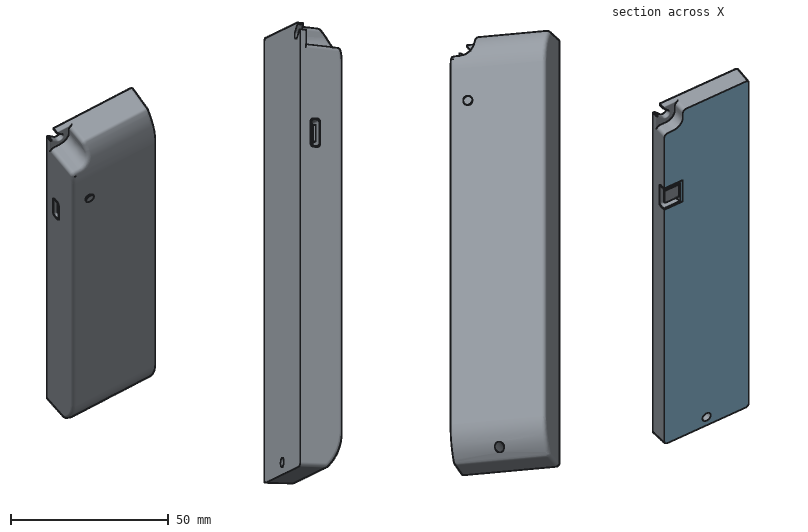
import cadquery as cq
import math

width = 32.62
length = 143.42
housing_depth = 14.7
draft_angle = 2.0
corner_radius = 1.3
front_edge_radius = 1.3

half_width = width / 2
half_length = length / 2

end_flat_depth = 9.1
end_curve_length = 12.2
end_curve_drop = housing_depth - end_flat_depth
end_curve_radius = (end_curve_length**2 + end_curve_drop**2) / (2 * end_curve_drop)

web_thickness = 2.1
web_edge_radius = 0.3
pocket_size = 7.0
pocket_inner_radius = 3.5
pocket_lip_radius = 1.4
slot_width = 2.8
slot_end_offset = 3.7
slot_mouth_size = 2.6
slot_angle = 45.0

hole_diameter = 3.0
hole_end_distance = 4.0

button_diameter = 3.0
button_height = 0.5
button_side_distance = 6.6
button_top_distance = 23.3

socket_center_x = 5.2
socket_top_distance = 35.6
socket_length = 9.3
socket_thickness = 3.4
socket_corner_radius = 1.2
socket_wall = 0.4
socket_depth = 7.0
socket_floor_thickness = 1.0
tongue_length = 5.3
tongue_thickness = 0.8
tongue_recess = 0.8
opening_clearance = 1.0

selection_margin = 0.2

socket_center_z = half_length - socket_top_distance
draft_slope = math.tan(math.radians(draft_angle))
socket_face_y = -half_width + socket_center_x * draft_slope


def drafted_prism(outline):
    """Extrude an open YZ outline, once closed, towards +X with the side draft."""
    return outline.close().extrude(housing_depth, taper=draft_angle)


def round_upright_edge(block, y, z, radius):
    """Round the drafted edge that rises from the point (y, z) on the back."""
    nearest = cq.selectors.NearestToPointSelector((housing_depth / 2, y, z))
    return block.edges(nearest).fillet(radius)


def full_block():
    outline = (
        cq.Workplane("YZ")
        .moveTo(-half_width, -half_length)
        .lineTo(half_width, -half_length)
        .lineTo(half_width, half_length)
        .lineTo(-half_width, half_length)
    )
    block = drafted_prism(outline)
    for y in (-half_width, half_width):
        for z in (-half_length, half_length):
            block = round_upright_edge(block, y, z, corner_radius)
    return block


def pocketed_block():
    """The block with its upper -Y corner notched out over the whole depth."""
    wall_y = -half_width + pocket_size
    floor_z = half_length - pocket_size
    arc_center_y = wall_y - pocket_inner_radius
    arc_center_z = floor_z + pocket_inner_radius
    arc_reach = pocket_inner_radius * math.sqrt(0.5)
    outline = (
        cq.Workplane("YZ")
        .moveTo(-half_width, -half_length)
        .lineTo(half_width, -half_length)
        .lineTo(half_width, half_length)
        .lineTo(wall_y, half_length)
        .lineTo(wall_y, arc_center_z)
        .threePointArc((arc_center_y + arc_reach, arc_center_z - arc_reach), (arc_center_y, floor_z))
        .lineTo(-half_width, floor_z)
    )
    block = drafted_prism(outline)
    block = round_upright_edge(block, -half_width, -half_length, corner_radius)
    block = round_upright_edge(block, half_width, -half_length, corner_radius)
    block = round_upright_edge(block, half_width, half_length, corner_radius)
    block = round_upright_edge(block, wall_y, half_length, pocket_lip_radius)
    block = round_upright_edge(block, -half_width, floor_z, pocket_lip_radius)
    return block


def side_profile():
    """XZ profile with both front ends curved back, as a slab wider than the housing."""
    curve_end_z = half_length - end_curve_length
    return (
        cq.Workplane("XZ")
        .moveTo(0, -half_length)
        .lineTo(end_flat_depth, -half_length)
        .radiusArc((housing_depth, -curve_end_z), -end_curve_radius)
        .lineTo(housing_depth, curve_end_z)
        .radiusArc((end_flat_depth, half_length), -end_curve_radius)
        .lineTo(0, half_length)
        .close()
        .extrude(width, both=True)
    )


def round_front_rim(block):
    """Round the rim of the front face, leaving out the two seams where its ends start to curve."""
    front_x = housing_depth + selection_margin
    rim_and_seams = cq.selectors.BoxSelector(
        (end_flat_depth - selection_margin, -width, -length),
        (front_x, width, length),
    )
    seam_reach = half_length - end_curve_length + selection_margin
    seams = cq.selectors.BoxSelector(
        (housing_depth - selection_margin, -half_width / 2, -seam_reach),
        (front_x, half_width / 2, seam_reach),
    )
    return block.edges(rim_and_seams - seams).fillet(front_edge_radius)


def lanyard_slot():
    """Slot slanting in from the corner with a round inner end and a square mouth."""
    end_y = -half_width + slot_end_offset
    end_z = half_length - slot_end_offset
    slot_reach = 2 * slot_end_offset
    round_end = cq.Workplane("YZ").center(end_y, end_z).circle(slot_width / 2).extrude(web_thickness)
    channel = (
        cq.Workplane("YZ")
        .rect(slot_reach, slot_width)
        .extrude(web_thickness)
        .translate((0, -slot_reach / 2, 0))
        .rotate((0, 0, 0), (1, 0, 0), -slot_angle)
        .translate((0, end_y, end_z))
    )
    mouth = (
        cq.Workplane("YZ")
        .center(-half_width, half_length)
        .rect(2 * slot_mouth_size, 2 * slot_mouth_size)
        .extrude(web_thickness)
    )
    return round_end.union(channel).union(mouth)


def slotted_web():
    """Back layer with the lanyard slot, its inner rim rounded where the pocket leaves it bare."""
    slab = cq.Workplane("YZ").rect(width, length).extrude(web_thickness)
    web = full_block().intersect(slab).cut(lanyard_slot())
    return web.faces(">X").edges().fillet(web_edge_radius)


def mounting_hole():
    hole_z = -half_length + hole_end_distance
    return cq.Workplane("YZ").center(0, hole_z).circle(hole_diameter / 2).extrude(housing_depth)


def button():
    return (
        cq.Workplane("YZ", origin=(housing_depth, 0, 0))
        .center(-half_width + button_side_distance, half_length - button_top_distance)
        .circle(button_diameter / 2)
        .extrude(button_height)
    )


def socket_bar(inset, start_depth, end_depth):
    """Rounded bar along +Y, smaller than the socket by the inset, between two depths below the -Y side."""
    bar_depth = end_depth - start_depth
    return (
        cq.Workplane("XY")
        .box(socket_thickness - 2 * inset, bar_depth, socket_length - 2 * inset)
        .edges("|Y")
        .fillet(socket_corner_radius - inset)
        .translate((socket_center_x, socket_face_y + start_depth + bar_depth / 2, socket_center_z))
    )


def socket_envelope():
    """Space taken up by the socket, reaching out past the drafted side."""
    return socket_bar(0, -opening_clearance, socket_depth)


def make_housing():
    housing = round_front_rim(pocketed_block().intersect(side_profile()))
    housing = housing.union(slotted_web()).cut(mounting_hole())
    return housing.union(button())


def make_socket(uncut_housing):
    """Thin shell ending flush with the drafted side, closed at the bottom, with a tongue inside."""
    shell = uncut_housing.intersect(socket_envelope())
    cavity = socket_bar(socket_wall, -opening_clearance, socket_depth - socket_floor_thickness)
    tongue_depth = socket_depth - tongue_recess
    tongue = (
        cq.Workplane("XY")
        .box(tongue_thickness, tongue_depth, tongue_length)
        .translate((socket_center_x, socket_face_y + tongue_recess + tongue_depth / 2, socket_center_z))
    )
    return shell.cut(cavity).union(tongue)


uncut_housing = make_housing()
housing = uncut_housing.cut(socket_envelope())
socket = make_socket(uncut_housing)

result = cq.Compound.makeCompound([housing.val(), socket.val()])